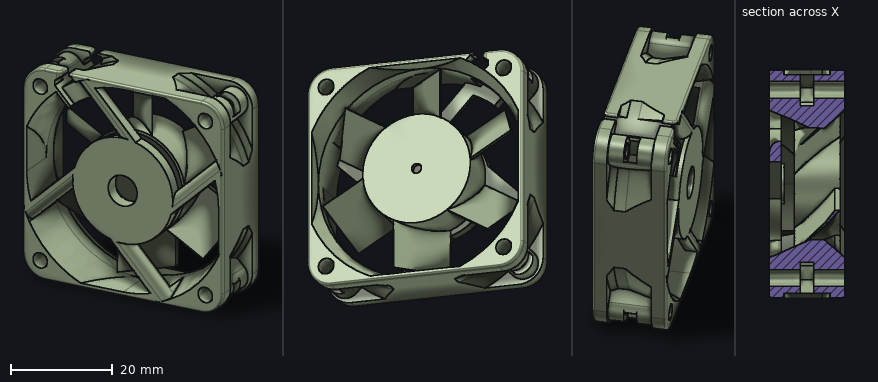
import cadquery as cq
import math


SIDE = 45.0
HALF = SIDE / 2
DEPTH = 15.0
CORNER_R = 5.0
EDGE_FILLET = 0.5
FLANGE = 3.0
NOTCH_BACK = DEPTH - FLANGE

THROAT_R = 21.5
WALL = 2.0
DUCT_R = THROAT_R + WALL
THROAT_FRONT = 8.0
THROAT_BACK = 11.0
FRONT_FLARE = WALL / THROAT_FRONT
BACK_FLARE = WALL / (DEPTH - THROAT_BACK)

HOLE_PITCH = 37.0
HOLE_D = 3.2
MOUNT_R = 3.0
NUT_WIDTH = 5.0
NUT_THICK = 2.6
NUT_SEAT = 2.0
MOUNT_REACH = HOLE_PITCH / math.sqrt(2)

STRUT_TILT = 47.0
STRUT_WIDTH = 3.0
STRUT_INNER = 6.5
STRUT_OUTER = STRUT_INNER + STRUT_WIDTH
STRUT_ROUND = 2.0
STRUT_THICK = 2.48
STRUT_ROOT = 0.7
BASE_R = 11.2
BEARING_R = 3.25
BEARING_WALL = 0.7
BEARING_LENGTH = 3.0

CABLE_DEPTH = 1.5
CABLE_WALL = 0.7
CABLE_SIDE = 2.1
CABLE_GUIDE_R = 19.45
CABLE_RECESS_WIDTH = 8.0
GAP_LEFT = -13.85
GAP_RIGHT = -12.45
GAP_ROUND = 1.0
LIP_THICK = 0.6
OUTLET_R = 25.45
OUTLET_LEFT = -15.2

HUB_FRONT = 5.0
HUB_BACK = 14.0
HUB_FLOOR = 13.0
HUB_R = 11.2
HUB_WALL = 0.65
SHAFT_HOLE_R = 1.0
BLADES = 6
BLADE_WIDTH = 8.75
BLADE_SHIFT = -0.45
BLADE_TIP = 19.9
BLADE_THICK = 1.05

ACROSS = (math.sin(math.radians(STRUT_TILT)), math.cos(math.radians(STRUT_TILT)))
ALONG = (-ACROSS[1], ACROSS[0])


def layer(y_from, y_to):
    """Workplane on which a sketch in X and Z can be extruded from y_to towards y_from."""
    return cq.Workplane("XZ", origin=(0, y_to, 0))


def disc(radius, y_from, y_to):
    return layer(y_from, y_to).circle(radius).extrude(y_to - y_from)


def ring(outer, inner, y_from, y_to):
    return layer(y_from, y_to).circle(outer).circle(inner).extrude(y_to - y_from)


def square(side, y_from, y_to):
    return layer(y_from, y_to).rect(side, side).extrude(y_to - y_from)


def turned(points):
    """Solid of revolution about the fan axis from (radius, y) points."""
    return cq.Workplane("XY").polyline(points).close().revolve(360, (0, 0), (0, 1))


def about_axis(solid, angle):
    """Turn about the fan axis, anticlockwise as seen from the intake."""
    return solid.rotate((0, 0, 0), (0, -1, 0), angle)


def strut_point(across, along):
    """X and Z of a point given by its offsets across and along the upper strut."""
    return (across * ACROSS[0] + along * ALONG[0], across * ACROSS[1] + along * ALONG[1])


def at_radius(across, radius):
    """Point on a line parallel to the upper strut where it reaches the given radius."""
    return strut_point(across, math.sqrt(radius**2 - across**2))


def strut_band(across_from, across_to, along_from, along_to, y_from, y_to):
    """Block with sides parallel to the upper strut."""
    corners = [
        strut_point(across_from, along_from),
        strut_point(across_to, along_from),
        strut_point(across_to, along_to),
        strut_point(across_from, along_to),
    ]
    return layer(y_from, y_to).polyline(corners).close().extrude(y_to - y_from)


def cable_slot():
    """Opening from the gap in the top side down to the duct wall, through the full depth."""
    lip_bottom = HALF - LIP_THICK
    outlet_top = (GAP_LEFT, math.sqrt(OUTLET_R**2 - GAP_LEFT**2))
    outlet_side = (OUTLET_LEFT, math.sqrt(OUTLET_R**2 - OUTLET_LEFT**2))
    arc_middle_x = (GAP_LEFT + OUTLET_LEFT) / 2
    outlet_middle = (arc_middle_x, math.sqrt(OUTLET_R**2 - arc_middle_x**2))
    side_foot = (OUTLET_LEFT, (CABLE_SIDE - OUTLET_LEFT * ACROSS[0]) / ACROSS[1])
    strut_top = ((STRUT_INNER - lip_bottom * ACROSS[1]) / ACROSS[0], lip_bottom)
    return (
        layer(0, DEPTH)
        .moveTo(GAP_RIGHT, SIDE)
        .lineTo(GAP_LEFT, SIDE)
        .lineTo(*outlet_top)
        .threePointArc(outlet_middle, outlet_side)
        .lineTo(*side_foot)
        .lineTo(*at_radius(CABLE_SIDE, DUCT_R))
        .threePointArc(at_radius((CABLE_SIDE + STRUT_INNER) / 2, DUCT_R), at_radius(STRUT_INNER, DUCT_R))
        .lineTo(*strut_top)
        .lineTo(GAP_RIGHT, lip_bottom)
        .close()
        .extrude(DEPTH)
    )


def frame_block():
    """Rounded square block with the cable slot, its lips and outer edges rounded."""
    block = square(SIDE, 0, DEPTH).edges("|Y").fillet(CORNER_R).cut(cable_slot())
    gap_middle = (GAP_LEFT + GAP_RIGHT) / 2
    gap_width = GAP_RIGHT - GAP_LEFT
    lip_zone = cq.selectors.BoxSelector(
        (gap_middle - gap_width, -0.45, HALF - GAP_ROUND), (gap_middle + gap_width, DEPTH + 0.45, HALF)
    )
    block = block.edges("|Z").edges(lip_zone).fillet(GAP_ROUND)
    return block.faces(">Z").edges("<Y").fillet(EDGE_FILLET)


def duct_outside():
    """Outer surface of the duct wall: the bore offset outward by the wall thickness."""
    waist_front = THROAT_FRONT + WALL * math.tan(math.atan(FRONT_FLARE) / 2)
    waist_back = THROAT_BACK - WALL * math.tan(math.atan(BACK_FLARE) / 2)
    front_r = DUCT_R + FRONT_FLARE * waist_front
    back_r = DUCT_R + BACK_FLARE * (DEPTH - waist_back)
    return turned(
        [(0, 0), (front_r, 0), (DUCT_R, waist_front), (DUCT_R, waist_back), (back_r, DEPTH), (0, DEPTH)]
    )


def corner_mounts(y_from, y_to):
    """Mount bosses with webs that run inward to the duct, in all four corners."""
    boss = layer(y_from, y_to).center(MOUNT_REACH, 0).circle(MOUNT_R).extrude(y_to - y_from)
    web = layer(y_from, y_to).center(MOUNT_REACH / 2, 0).rect(MOUNT_REACH, 2 * MOUNT_R).extrude(y_to - y_from)
    mount = boss.union(web)
    mounts = about_axis(mount, 45)
    for corner in range(1, 4):
        mounts = mounts.union(about_axis(mount, 45 + 90 * corner))
    return mounts


def side_notches():
    """Space between the flanges, outside the duct wall and around the corner mounts."""
    notches = square(SIDE, FLANGE, NOTCH_BACK).cut(duct_outside())
    web_trim = strut_band(CABLE_SIDE, STRUT_INNER, 0, SIDE, FLANGE, NOTCH_BACK)
    mounts = corner_mounts(FLANGE, NOTCH_BACK).cut(web_trim)
    return notches.cut(mounts)


def cut_mount_holes(body):
    """Screw holes, each with a hexagon nut pocket open to the outside of its corner."""
    nut_front = (DEPTH - NUT_THICK) / 2
    hole = layer(0, DEPTH).center(MOUNT_REACH, 0).circle(HOLE_D / 2).extrude(DEPTH)
    seat = MOUNT_REACH - NUT_SEAT
    point = seat - NUT_WIDTH / 2 / math.sqrt(3)
    outline = [
        (HALF * math.sqrt(2), -NUT_WIDTH / 2),
        (seat, -NUT_WIDTH / 2),
        (point, 0),
        (seat, NUT_WIDTH / 2),
        (HALF * math.sqrt(2), NUT_WIDTH / 2),
    ]
    pocket = layer(nut_front, nut_front + NUT_THICK).polyline(outline).close().extrude(NUT_THICK)
    for corner in range(4):
        angle = 45 + 90 * corner
        body = body.cut(about_axis(hole, angle)).cut(about_axis(pocket, angle))
    return body


def front_bells():
    """Intake flares: each runs from a strut to the next side of the frame, kept inside the side walls."""
    flare = turned([(0, 0), (DUCT_R, 0), (THROAT_R, THROAT_FRONT), (0, THROAT_FRONT)])
    flare = flare.intersect(square(2 * THROAT_R, 0, THROAT_FRONT))
    quarter = layer(0, THROAT_FRONT).center(-HALF / 2, HALF / 2).rect(HALF, HALF).extrude(THROAT_FRONT)
    behind_strut = strut_band(STRUT_INNER, SIDE, 0, SIDE, 0, THROAT_FRONT)
    sector = flare.intersect(quarter.cut(behind_strut))
    return [about_axis(sector, 90 * turn) for turn in range(4)]


def back_bell():
    flare = turned([(0, THROAT_BACK), (THROAT_R, THROAT_BACK), (DUCT_R, DEPTH), (0, DEPTH)])
    return flare.intersect(square(2 * THROAT_R, THROAT_BACK, DEPTH))


def strut():
    """Upper strut: flat at the front, with its edge towards the cable channel rounded."""
    bar = strut_band(STRUT_INNER, STRUT_OUTER, 0, SIDE, 0, STRUT_THICK)
    edge_x, edge_z = strut_point(STRUT_INNER, SIDE / 2)
    bar = bar.edges(cq.selectors.NearestToPointSelector((edge_x, 0, edge_z))).fillet(STRUT_ROUND)
    return bar.intersect(ring(DUCT_R, BASE_R - STRUT_ROOT, 0, STRUT_THICK))


def motor_base():
    """Base disc with the bearing tube, and a recess behind it that leads the cable outward."""
    tube_r = BEARING_R + BEARING_WALL
    base = disc(BASE_R, 0, STRUT_THICK)
    recess = strut_band(
        STRUT_INNER - CABLE_RECESS_WIDTH, STRUT_INNER, tube_r, BASE_R, STRUT_THICK - CABLE_DEPTH, STRUT_THICK
    )
    tube = disc(tube_r, 0, BEARING_LENGTH)
    return base.cut(recess).union(tube).cut(disc(BEARING_R, 0, BEARING_LENGTH))


def cable_guide():
    """Side wall and floor of the cable channel, reaching inward from the duct wall."""
    side = strut_band(CABLE_SIDE - CABLE_WALL, CABLE_SIDE, 0, SIDE, 0, STRUT_THICK)
    floor = strut_band(CABLE_SIDE, STRUT_INNER, 0, SIDE, CABLE_DEPTH, STRUT_THICK)
    return side.union(floor).intersect(ring(DUCT_R, CABLE_GUIDE_R, 0, STRUT_THICK))


def make_housing():
    body = frame_block().cut(side_notches()).cut(disc(THROAT_R, 0, DEPTH))
    for bell in front_bells():
        body = body.cut(bell)
    body = body.cut(back_bell())
    body = cut_mount_holes(body)
    channel = strut_band(CABLE_SIDE, STRUT_INNER, 0, SIDE, 0, CABLE_DEPTH)
    body = body.cut(channel.intersect(disc(DUCT_R, 0, CABLE_DEPTH)))
    strut_bed = strut_band(STRUT_INNER, STRUT_INNER + STRUT_ROUND, 0, SIDE, 0, STRUT_ROUND)
    strut_bed = strut_bed.intersect(ring(DUCT_R, CABLE_GUIDE_R, 0, STRUT_ROUND))
    for turn in range(4):
        body = body.cut(about_axis(strut_bed, 90 * turn))
    for turn in range(4):
        body = body.union(about_axis(strut(), 90 * turn))
    body = body.union(motor_base())
    return body.union(cable_guide())


def blade():
    """Upper blade: a sloping wedge with a sharp leading edge and a trailing edge parallel to the axis."""
    left = BLADE_SHIFT - BLADE_WIDTH / 2
    right = BLADE_SHIFT + BLADE_WIDTH / 2
    profile = [
        (right, HUB_FRONT),
        (left, HUB_BACK),
        (left, HUB_BACK - BLADE_THICK),
    ]
    return cq.Workplane("XY").polyline(profile).close().extrude(BLADE_TIP)


def make_rotor():
    hub = disc(HUB_R, HUB_FRONT, HUB_BACK)
    inside = disc(HUB_R - HUB_WALL, HUB_FRONT, HUB_FLOOR)
    rotor = hub
    for turn in range(BLADES):
        rotor = rotor.union(about_axis(blade(), turn * 360 / BLADES))
    return rotor.cut(inside).cut(disc(SHAFT_HOLE_R, HUB_FLOOR, HUB_BACK))


housing = make_housing()
rotor = make_rotor()
result = cq.Compound.makeCompound([housing.val(), rotor.val()])